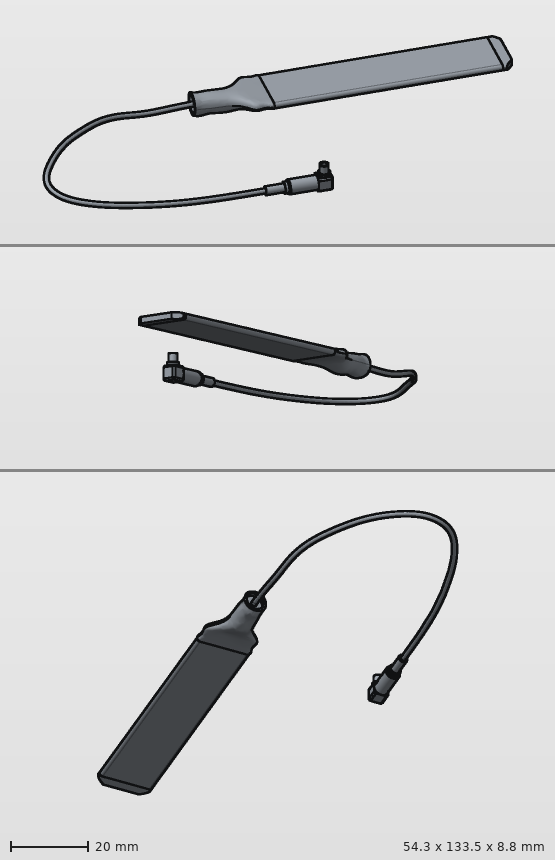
import cadquery as cq
import math


BLADE_WIDTH = 15.0
BLADE_THICKNESS = 1.7
BLADE_START = 20.2
BLADE_END = 82.0
TIP_END = 85.0
TIP_CORNER_X = 2.4
TIP_CORNER_Y = 2.1

MOUTH_RADIUS = 3.1
MOUTH_AXIS_Z = 0.1
RECESS_RADIUS = 2.4
RECESS_DEPTH = 1.1

CONNECTOR_X = 44.7
CONNECTOR_Z = 0.1
HEAD_SIZE = 4.0
HEAD_START = 20.2
HEAD_CHAMFER = 0.5
COLLAR_RADIUS = 1.6
COLLAR_TOP = 3.0
PLUG_RADIUS = 1.2
PLUG_TOP = 5.3
SOCKET_RADIUS = 0.8
SOCKET_DEPTH = 1.6

BARREL_RADIUS = HEAD_SIZE / 2
BARREL_END = 12.3
BARREL_CHAMFER = 0.4
NECK_RADIUS = 1.6
NECK_END = 11.3
SLEEVE_RADIUS = 1.2
SLEEVE_END = 6.3

CABLE_RADIUS = 0.73

HALF_WIDTH = BLADE_WIDTH / 2
HALF_THICKNESS = BLADE_THICKNESS / 2

EDGE_ANGLES = (30, 60)
FLAT_SHARES = (1.0, 0.8, 0.4)

BLADE_SECTION = (HALF_WIDTH, HALF_THICKNESS, -HALF_THICKNESS, HALF_THICKNESS)

GRIP_STATIONS = [
    (BLADE_START, *BLADE_SECTION),
    (18.7, 7.3, 1.1, -HALF_THICKNESS, 1.1),
    (16.7, 7.3, 1.3, -HALF_THICKNESS, 1.3),
    (14.7, 7.1, 1.6, -1.1, 2.0),
    (12.7, 5.2, 1.9, -1.7, 3.0),
    (10.0, 3.7, 2.1, -3.1, 3.2),
    (6.4, 3.3, 2.5, -3.2, 3.1),
    (3.2, 3.1, 2.8, -3.2, 3.0),
    (0.0, MOUTH_RADIUS, MOUTH_AXIS_Z + MOUTH_RADIUS, MOUTH_AXIS_Z - MOUTH_RADIUS, 3.0),
]

CABLE_BENDS = [
    (0.8, -14.0, 0.1),
    (1.7, -19.8, 1.2),
    (4.3, -25.8, 2.5),
    (7.9, -31.2, 3.3),
    (12.8, -37.6, 3.7),
    (20.4, -44.0, 3.7),
    (28.8, -47.8, 2.5),
    (33.8, -46.3, 2.0),
    (38.5, -40.3, 1.3),
    (41.9, -29.4, 0.7),
    (44.0, -16.0, 0.3),
]


def half_outline(half_width, height, edge):
    """Points of a half section from -X to +X: flat at the given height with elliptical side edges."""
    inner = half_width - edge
    turns = [math.radians(angle) for angle in EDGE_ANGLES]
    rounded = [(-inner - edge * math.cos(turn), height * math.sin(turn)) for turn in turns]
    flat = [(-inner * share, height) for share in FLAT_SHARES]
    left = [*rounded, *flat]
    right = [(-x, z) for x, z in reversed(left)]
    return [*left, (0, height), *right, (half_width, 0)]


def split_section(y, half_width, top, bottom, edge):
    """Section across Y made of an upper and a lower curve that meet at the parting plane Z = 0."""
    up, down = (0, 1), (0, -1)
    upper = half_outline(half_width, top, edge)
    lower = [(-x, z) for x, z in half_outline(half_width, bottom, edge)]
    return (
        across_y(y)
        .moveTo(-half_width, 0)
        .spline(upper, tangents=[up, down], scale=False, includeCurrent=True)
        .spline(lower, tangents=[down, up], scale=False, includeCurrent=True)
        .close()
    )


def across_y(y, x=0, z=0):
    """Workplane facing -Y, with its local axes along X and Z."""
    return cq.Workplane(cq.Plane((x, y, z), (1, 0, 0), (0, -1, 0)))


def make_blade():
    return (
        across_y(BLADE_END)
        .slot2D(BLADE_WIDTH, BLADE_THICKNESS)
        .extrude(BLADE_END - BLADE_START)
    )


def make_tip():
    cap = split_section(TIP_END, *BLADE_SECTION).extrude(TIP_END - BLADE_END)
    outline = (
        cq.Workplane("XY")
        .moveTo(-HALF_WIDTH, BLADE_END)
        .lineTo(-HALF_WIDTH, TIP_END - TIP_CORNER_Y)
        .lineTo(-HALF_WIDTH + TIP_CORNER_X, TIP_END)
        .lineTo(HALF_WIDTH - TIP_CORNER_X, TIP_END)
        .lineTo(HALF_WIDTH, TIP_END - TIP_CORNER_Y)
        .lineTo(HALF_WIDTH, BLADE_END)
        .close()
        .extrude(BLADE_THICKNESS, both=True)
    )
    return cap.intersect(outline)


def make_grip():
    wires = [split_section(*station).val() for station in GRIP_STATIONS]
    grip = cq.Workplane(cq.occ_impl.shapes.loft(wires, cap=True, parametrization="centripetal"))
    recess = round_along_y(0, MOUTH_AXIS_Z, RECESS_RADIUS, 0, RECESS_DEPTH)
    return grip.cut(recess)


def round_along_y(x, z, radius, start, end):
    """Cylinder along Y from start to end."""
    axis_start = cq.Vector(x, start, z)
    return cq.Workplane(cq.Solid.makeCylinder(radius, end - start, axis_start, cq.Vector(0, 1, 0)))


def make_cable():
    start = cq.Vector(0, RECESS_DEPTH, 0)
    mouth = cq.Vector(0, 0, 0)
    ferrule_entry = cq.Vector(CONNECTOR_X, SLEEVE_END, CONNECTOR_Z)
    end = cq.Vector(CONNECTOR_X, HEAD_START, CONNECTOR_Z)
    bends = [cq.Vector(*point) for point in CABLE_BENDS]
    tangents = [cq.Vector(0, -1, 0), cq.Vector(0, 1, 0)]
    path = cq.Wire.assembleEdges([
        cq.Edge.makeLine(start, mouth),
        cq.Edge.makeSpline([mouth, *bends, ferrule_entry], tangents=tangents, scale=False),
        cq.Edge.makeLine(ferrule_entry, end),
    ])
    profile = across_y(RECESS_DEPTH).circle(CABLE_RADIUS)
    return profile.sweep(cq.Workplane(path))


def make_ferrule():
    profile = [
        (HEAD_START, CABLE_RADIUS),
        (HEAD_START, BARREL_RADIUS),
        (BARREL_END + BARREL_CHAMFER, BARREL_RADIUS),
        (BARREL_END, BARREL_RADIUS - BARREL_CHAMFER / 2),
        (BARREL_END, NECK_RADIUS),
        (NECK_END, NECK_RADIUS),
        (NECK_END, SLEEVE_RADIUS),
        (SLEEVE_END, SLEEVE_RADIUS),
        (SLEEVE_END, CABLE_RADIUS),
    ]
    ferrule = cq.Workplane("YZ").polyline(profile).close().revolve(360, (0, 0), (1, 0))
    return ferrule.translate((CONNECTOR_X, 0, CONNECTOR_Z))


def make_connector():
    middle_y = HEAD_START + HEAD_SIZE / 2
    head_top = CONNECTOR_Z + HEAD_SIZE / 2
    head = cq.Workplane("XY").box(HEAD_SIZE, HEAD_SIZE, HEAD_SIZE).edges("not <Y").chamfer(HEAD_CHAMFER)
    head = head.translate((CONNECTOR_X, middle_y, CONNECTOR_Z))
    top = cq.Workplane("XY", origin=(CONNECTOR_X, middle_y, head_top))
    collar = top.circle(COLLAR_RADIUS).extrude(COLLAR_TOP - head_top)
    plug = top.circle(PLUG_RADIUS).extrude(PLUG_TOP - head_top)
    socket = (
        cq.Workplane("XY", origin=(CONNECTOR_X, middle_y, PLUG_TOP))
        .circle(SOCKET_RADIUS)
        .extrude(-SOCKET_DEPTH)
    )
    return head.union(collar).union(plug).cut(socket)


tip = make_tip()
blade = make_blade()
grip = make_grip()
cable = make_cable()
ferrule = make_ferrule()
connector = make_connector()

result = cq.Compound.makeCompound([
    tip.solids().val(), blade.val(), grip.solids().val(), cable.val(), ferrule.val(), connector.solids().val(),
])